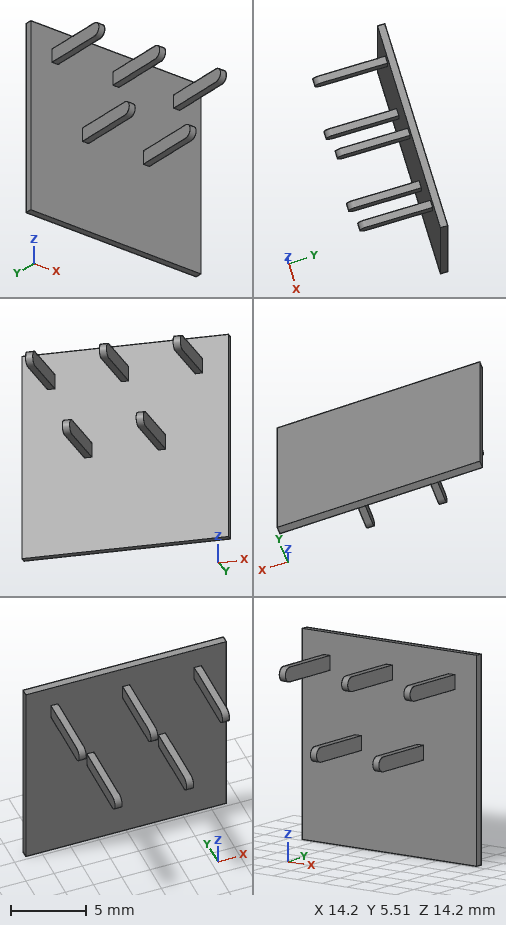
import cadquery as cq

pitch = 2.54
plate_side = 14.22
plate_thickness = 0.51
pin_length = 5.0
pin_width = 0.5
pin_height = 1.0

pin_rows = [
    (2 * pitch, [-2 * pitch, 0, 2 * pitch]),
    (0, [-pitch, pitch]),
]


def make_plate():
    """Square plate with its pin-side face on Y = 0."""
    return cq.Workplane("XY").box(
        plate_side, plate_thickness, plate_side, centered=(True, False, True)
    )


def make_pin(x, z):
    """Flat blade pointing toward -Y, with a full-round tip."""
    tip_radius = pin_height / 2
    straight_end = -(pin_length - tip_radius)
    return (
        cq.Workplane("YZ")
        .moveTo(0, -tip_radius)
        .lineTo(straight_end, -tip_radius)
        .threePointArc((-pin_length, 0), (straight_end, tip_radius))
        .lineTo(0, tip_radius)
        .close()
        .extrude(pin_width / 2, both=True)
        .translate((x, 0, z))
    )


result = make_plate()
for row_z, pin_positions in pin_rows:
    for pin_x in pin_positions:
        result = result.union(make_pin(pin_x, row_z))